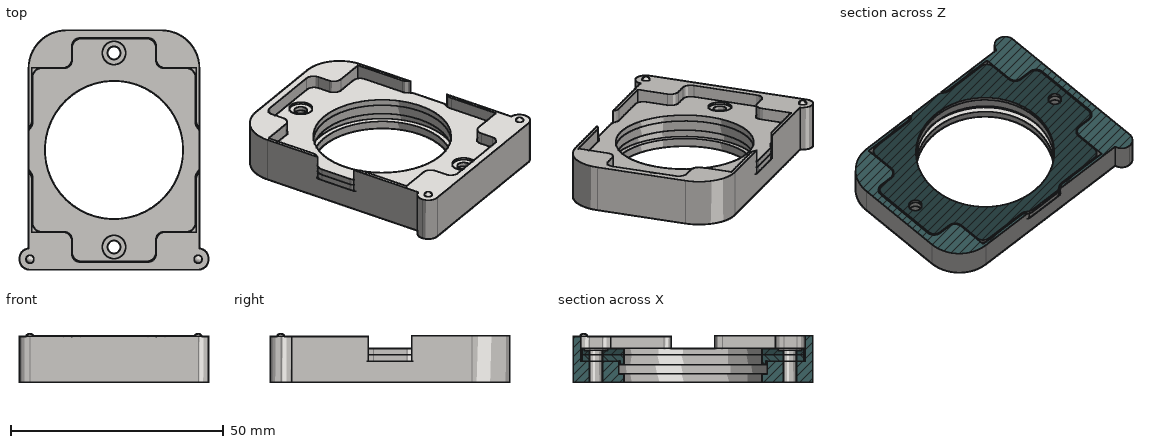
import cadquery as cq
import math

housing_width = 40.3
housing_length = 56.45
housing_rear_radius = 9.0
rear_height = 11.0
front_height = 10.8
lens_lip_height = 2.0
pocket_floor = 5.0

foot_width = 44.6
foot_length = 5.1
foot_end_radius = 2.5
nub_radius = 1.0
nub_top = 11.45
nub_offset_x = foot_width / 2 - foot_end_radius
nub_y = -housing_length / 2 + foot_end_radius

bore_diameter = 32.5
lens_seat_diameter = 35.0
collar_diameter = 34.5
collar_depth = 0.85
screw_diameter = 3.0
screw_head_diameter = 5.5
screw_head_recess = 0.5
screw_offset_y = 22.85

plate_thickness = 1.5

pocket_half_square = 19.35
pocket_half_tab_length = 26.4
pocket_half_tab_width = 9.95
side_clearance = 0.2
tab_clearance = 0.1
corner_radius = 2.0
plate_lug_reach = housing_width / 2
plate_lug_half_flat = 3.95
pocket_lug_half_flat = 4.2


def half_lug(wall_x, reach, half_flat, height):
    """Upper half of the +X side lug: a flat end blending into the wall in an S of two equal arcs."""
    turn = math.acos(1 - (reach - wall_x) / (2 * corner_radius))
    arc_rise = corner_radius * math.sin(turn)
    middle = ((wall_x + reach) / 2, half_flat + arc_rise)
    blend_end = (wall_x, half_flat + 2 * arc_rise)
    return (
        cq.Workplane("XY")
        .moveTo(reach, 0)
        .lineTo(reach, half_flat)
        .tangentArcPoint(middle, relative=False)
        .tangentArcPoint(blend_end, relative=False)
        .lineTo(0, blend_end[1])
        .lineTo(0, 0)
        .close()
        .extrude(height)
    )


def cross_block(half_x, half_y, half_tab_width, half_tab_length, reach, half_flat, height, round_corners):
    """Rectangle with a rounded tab at each Y end and a blended lug on each X side, standing on Z = 0."""
    centered = (True, True, False)
    square = cq.Workplane("XY").box(2 * half_x, 2 * half_y, height, centered=centered)
    if round_corners:
        square = square.edges("|Z").fillet(corner_radius)
    tabs = (
        cq.Workplane("XY")
        .box(2 * half_tab_width, 2 * half_tab_length, height, centered=centered)
        .edges("|Z")
        .fillet(corner_radius)
    )
    margin = 0.1
    inner_corners = cq.selectors.BoxSelector(
        (-half_tab_width - margin, -half_y - margin, -margin),
        (half_tab_width + margin, half_y + margin, height + margin),
    )
    block = square.union(tabs).edges("|Z").edges(inner_corners).fillet(corner_radius)
    quarter = half_lug(half_x, reach, half_flat, height)
    half = quarter.union(quarter.mirror("XZ"))
    return block.union(half).union(half.mirror("YZ"))


def screw_holes(diameter, bottom, depth):
    """Pair of vertical cylinders on the screw axes."""
    return (
        cq.Workplane("XY", origin=(0, 0, bottom))
        .pushPoints([(0, -screw_offset_y), (0, screw_offset_y)])
        .circle(diameter / 2)
        .extrude(depth)
    )


def disc(diameter, bottom, depth):
    """Cylinder on the bore axis."""
    return cq.Workplane("XY", origin=(0, 0, bottom)).circle(diameter / 2).extrude(depth)


def make_housing():
    """Frame with a wide front foot, detent nubs, cross-shaped pocket and stepped lens bore."""
    front_y = -housing_length / 2
    frame_length = housing_length - foot_end_radius
    body = (
        cq.Workplane("XY")
        .box(housing_width, frame_length, rear_height, centered=(True, False, False))
        .translate((0, front_y + foot_end_radius, 0))
        .edges("|Z and >Y")
        .fillet(housing_rear_radius)
    )
    step = (
        cq.Workplane("XY")
        .box(housing_width, housing_length / 2, rear_height - front_height, centered=(True, False, False))
        .translate((0, front_y, front_height))
    )
    foot = (
        cq.Workplane("XY")
        .box(foot_width, foot_length, front_height, centered=(True, False, False))
        .translate((0, front_y, 0))
        .edges("|Z")
        .fillet(foot_end_radius)
    )
    body = body.cut(step).union(foot)

    for nub_x in (-nub_offset_x, nub_offset_x):
        nub = cq.Workplane("XY").sphere(nub_radius).translate((nub_x, nub_y, nub_top - nub_radius))
        body = body.union(nub)

    pocket = cross_block(
        pocket_half_square,
        pocket_half_square,
        pocket_half_tab_width,
        pocket_half_tab_length,
        plate_lug_reach + side_clearance,
        pocket_lug_half_flat,
        rear_height - pocket_floor,
        round_corners=False,
    ).translate((0, 0, pocket_floor))
    lens_seat = disc(lens_seat_diameter, lens_lip_height, pocket_floor - lens_lip_height)
    bore = disc(bore_diameter, 0, lens_lip_height)
    screws = screw_holes(screw_diameter, 0, pocket_floor)
    return body.cut(pocket).cut(lens_seat).cut(bore).cut(screws)


def make_plate_blank(bottom):
    """Flat plate that drops into the pocket."""
    return cross_block(
        pocket_half_square - side_clearance,
        pocket_half_square - tab_clearance,
        pocket_half_tab_width - tab_clearance,
        pocket_half_tab_length - side_clearance,
        plate_lug_reach,
        plate_lug_half_flat,
        plate_thickness,
        round_corners=True,
    ).translate((0, 0, bottom))


def make_collar_plate():
    """Lower plate, with a collar reaching down into the lens seat."""
    bottom = pocket_floor
    collar_bottom = bottom - collar_depth
    plate = make_plate_blank(bottom).union(disc(collar_diameter, collar_bottom, collar_depth))
    bore = disc(bore_diameter, collar_bottom, collar_depth + plate_thickness)
    return plate.cut(bore).cut(screw_holes(screw_diameter, bottom, plate_thickness))


def make_cover_plate():
    """Upper plate, with shallow recesses for the screw heads."""
    bottom = pocket_floor + plate_thickness
    recess_floor = bottom + plate_thickness - screw_head_recess
    return (
        make_plate_blank(bottom)
        .cut(disc(bore_diameter, bottom, plate_thickness))
        .cut(screw_holes(screw_diameter, bottom, plate_thickness))
        .cut(screw_holes(screw_head_diameter, recess_floor, screw_head_recess))
    )


housing = make_housing()
collar_plate = make_collar_plate()
cover_plate = make_cover_plate()

result = cq.Compound.makeCompound([housing.val(), collar_plate.val(), cover_plate.val()])